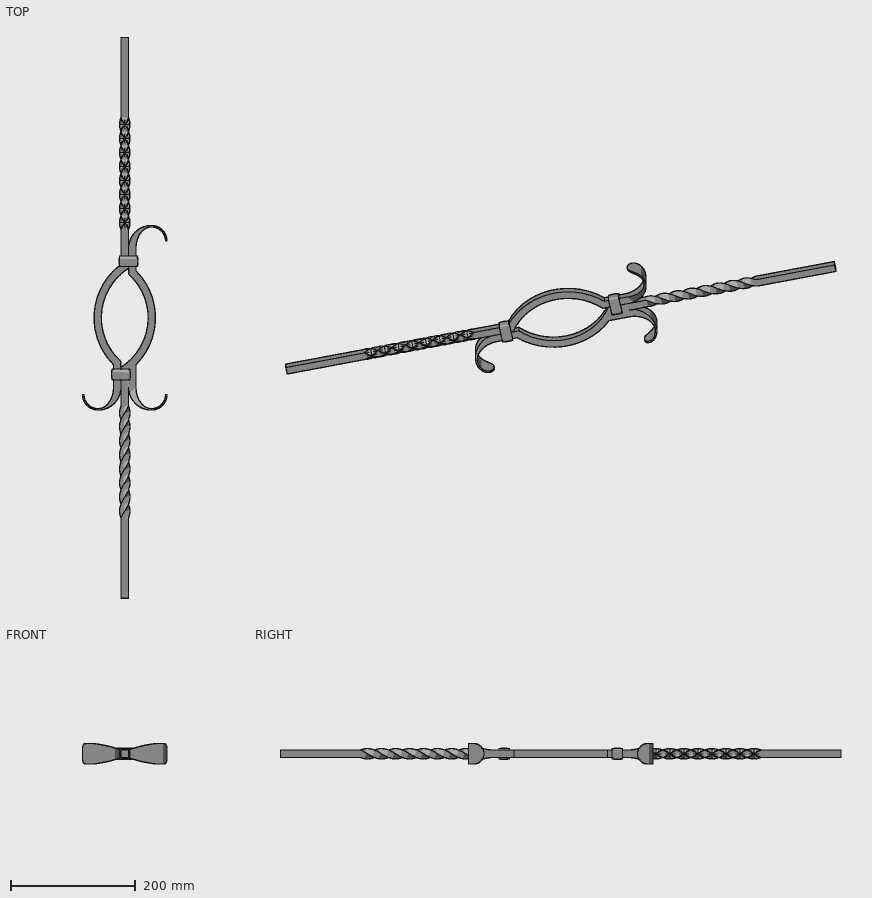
import cadquery as cq
import math

LENGTH = 900.0
PAIR_WIDTH = 24.0
TWIST_START = 141.0
TWIST_LENGTH = 180.0
TWIST_ANGLE = 720
EIGHTH_TURN = 45

OVAL_HALF_WIDTH = 49.5
OVAL_RADIUS = 106.0

HOOK_START = 112.0
HOOK_SPAN = 136.0
TIP_RADIUS = 25.0
HOOK_THICKNESS = 3.0
HOOK_WIDTH = 33.0
FLARE_LENGTH = 48.0

COLLAR_CENTER = 91.0
COLLAR_LENGTH = 17.0
COLLAR_EDGE = 2.25
COLLAR_CROWN = 3.15

BAR = PAIR_WIDTH / 2
HALF_BAR = BAR / 2
CROSSED_PIECES = TWIST_ANGLE // EIGHTH_TURN
SIDE_EDGE = HALF_BAR + BAR
OVAL_INNER_RADIUS = OVAL_RADIUS - BAR
OVAL_CENTER_X = OVAL_RADIUS - OVAL_HALF_WIDTH
ARM_TO_BAR_Y = math.sqrt(OVAL_INNER_RADIUS**2 - (OVAL_CENTER_X - HALF_BAR) ** 2)
ARM_TO_SIDE_Y = math.sqrt(OVAL_RADIUS**2 - (OVAL_CENTER_X + SIDE_EDGE) ** 2)
CREST_X = HOOK_SPAN / 2 - TIP_RADIUS
HOOK_RADIUS = CREST_X - HALF_BAR
CREST_Y = -HOOK_START - HOOK_RADIUS
TIP_Y = CREST_Y + TIP_RADIUS


def block(x_min, x_max, y_min, y_max, height):
    """Box centred on Z = 0."""
    return (
        cq.Workplane("XY")
        .box(x_max - x_min, y_max - y_min, height)
        .translate(((x_min + x_max) / 2, (y_min + y_max) / 2, 0))
    )


def square_twist(length, angle):
    """Square bar along +Y from the origin, twisted about its own axis."""
    return cq.Workplane("XZ").rect(BAR, BAR).twistExtrude(-length, angle)


def plain_twist():
    """Square bar twisted one way."""
    return square_twist(TWIST_LENGTH, TWIST_ANGLE)


def crossed_twist():
    """Square bar twisted both ways at once, so that its ridges cross in diamonds."""
    length = TWIST_LENGTH / CROSSED_PIECES
    opening = square_twist(length, EIGHTH_TURN).union(square_twist(length, -EIGHTH_TURN), clean=False).val()
    closing = opening.mirror("XZ", cq.Vector(0, length / 2, 0))
    pieces = [
        (closing if index % 2 else opening).translate(cq.Vector(0, index * length, 0))
        for index in range(CROSSED_PIECES)
    ]
    return cq.Workplane(pieces[0].fuse(*pieces[1:], glue=True))


def main_bar(twist):
    """Straight bar up the +Y side with a twisted stretch in it."""
    twist_end = TWIST_START + TWIST_LENGTH
    inner = block(-HALF_BAR, HALF_BAR, ARM_TO_BAR_Y, TWIST_START, BAR)
    outer = block(-HALF_BAR, HALF_BAR, twist_end, LENGTH / 2, BAR)
    return inner.union(twist.translate((0, TWIST_START, 0))).union(outer)


def oval_arm():
    """Left arm: runs into the main bar at +Y and into the bar end beside it at -Y."""
    ring = (
        cq.Workplane("XY")
        .center(OVAL_CENTER_X, 0)
        .circle(OVAL_RADIUS)
        .circle(OVAL_INNER_RADIUS)
        .extrude(HALF_BAR, both=True)
    )
    upper = block(-OVAL_HALF_WIDTH, HALF_BAR, 0, OVAL_RADIUS, BAR)
    lower = block(-OVAL_HALF_WIDTH, -HALF_BAR, -OVAL_RADIUS, 0, BAR)
    return ring.intersect(upper.union(lower))


def hook_curve():
    """Hook seen along Z: tapers from the bar to its crest, then keeps one thickness to the tip."""
    diagonal = math.sqrt(0.5)
    inner_tip_radius = TIP_RADIUS - HOOK_THICKNESS
    return (
        cq.Workplane("XY", origin=(0, 0, -HOOK_WIDTH / 2))
        .moveTo(SIDE_EDGE, -HOOK_START)
        .ellipseArc(CREST_X - SIDE_EDGE, HOOK_RADIUS - HOOK_THICKNESS, 180, 270)
        .threePointArc(
            (CREST_X + inner_tip_radius * diagonal, TIP_Y - inner_tip_radius * diagonal),
            (CREST_X + inner_tip_radius, TIP_Y),
        )
        .lineTo(CREST_X + TIP_RADIUS, TIP_Y)
        .threePointArc(
            (CREST_X + TIP_RADIUS * diagonal, TIP_Y - TIP_RADIUS * diagonal),
            (CREST_X, CREST_Y),
        )
        .threePointArc(
            (CREST_X - HOOK_RADIUS * diagonal, -HOOK_START - HOOK_RADIUS * diagonal),
            (HALF_BAR, -HOOK_START),
        )
        .close()
        .extrude(HOOK_WIDTH)
    )


def hook_flare():
    """Envelope that widens along the diagonal from the bar's thickness to the hook's full width."""
    reach = 2 * FLARE_LENGTH
    half_width = HOOK_WIDTH / 2
    diagonal_plane = cq.Plane(origin=(SIDE_EDGE, -HOOK_START, 0), xDir=(1, -1, 0), normal=(1, 1, 0))
    half_outline = [
        (-BAR, HALF_BAR),
        (0, HALF_BAR),
        (FLARE_LENGTH, half_width),
        (reach, half_width),
    ]
    mirrored = [(along, -z) for along, z in reversed(half_outline)]
    return cq.Workplane(diagonal_plane).polyline(half_outline + mirrored).close().extrude(reach, both=True)


def tip_corners():
    """Waste outside the half-round end of the hook."""
    half_width = HOOK_WIDTH / 2
    round_y = TIP_Y - half_width
    waste = block(CREST_X, CREST_X + HOOK_WIDTH, round_y, TIP_Y, HOOK_WIDTH)
    disc = cq.Workplane("YZ", origin=(CREST_X, round_y, 0)).circle(half_width).extrude(HOOK_WIDTH)
    return waste.cut(disc)


def hook():
    """Straight bar end with its hook, on the +X side at the -Y end."""
    straight = block(HALF_BAR, SIDE_EDGE, -HOOK_START, -ARM_TO_SIDE_Y, BAR)
    return straight.union(hook_curve().intersect(hook_flare()).cut(tip_corners()))


def scroll_bar(twist):
    """Main bar, the left oval arm and the hook that ends it, as one piece."""
    return main_bar(twist).union(oval_arm()).union(hook().mirror("YZ"))


def collar():
    """Barrel-faced band around the main bar and the bar end on its +X side, at +Y."""
    middle_x = BAR / 2
    half_length = COLLAR_LENGTH / 2
    section = (
        cq.Workplane("YZ", origin=(middle_x, COLLAR_CENTER, HALF_BAR))
        .moveTo(-half_length, 0)
        .lineTo(-half_length, COLLAR_EDGE)
        .threePointArc((0, COLLAR_CROWN), (half_length, COLLAR_EDGE))
        .lineTo(half_length, 0)
        .close()
    )
    path = (
        cq.Workplane("XZ", origin=(middle_x, COLLAR_CENTER, 0))
        .moveTo(0, HALF_BAR)
        .lineTo(BAR, HALF_BAR)
        .lineTo(BAR, -HALF_BAR)
        .lineTo(-BAR, -HALF_BAR)
        .lineTo(-BAR, HALF_BAR)
        .close()
    )
    return section.sweep(path, transition="round")


def half_turn(body):
    """The body turned end for end about the Z axis."""
    return body.rotate((0, 0, 0), (0, 0, 1), 180)


upper_collar = collar()
lower_collar = half_turn(upper_collar)

upper_scroll_bar = scroll_bar(crossed_twist()).cut(upper_collar)
lower_scroll_bar = half_turn(scroll_bar(plain_twist())).union(hook()).cut(lower_collar)

result = cq.Compound.makeCompound([
    upper_scroll_bar.solids().val(),
    lower_scroll_bar.solids().val(),
    upper_collar.val(),
    lower_collar.val(),
])